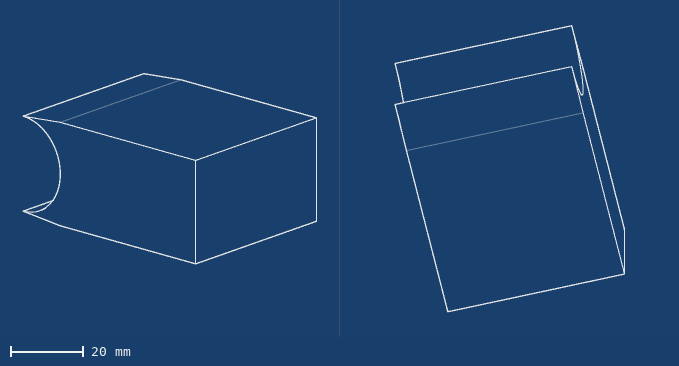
import cadquery as cq

length = 63.75
width = 50.0
height = 30.0

saddle_radius = 13.8

half_length = length / 2
half_height = height / 2
lip_x = -half_length
taper_start_x = lip_x + saddle_radius

result = (
    cq.Workplane("XZ")
    .moveTo(lip_x, saddle_radius)
    .lineTo(taper_start_x, half_height)
    .lineTo(half_length, half_height)
    .lineTo(half_length, -half_height)
    .lineTo(taper_start_x, -half_height)
    .lineTo(lip_x, -saddle_radius)
    .threePointArc((taper_start_x, 0), (lip_x, saddle_radius))
    .close()
    .extrude(width / 2, both=True)
)